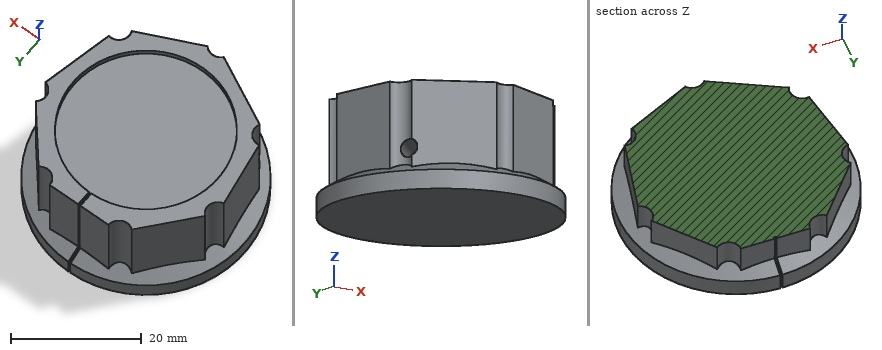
import cadquery as cq
import math

flange_radius = 19.05
flange_height = 3.0
flange_slope = math.radians(30)
cone_top_radius = 14.0

total_height = 17.6
grip_back_y = 16.62
grip_corners = [
    (7.70, grip_back_y),
    (17.65, 4.80),
    (14.15, -11.48),
    (-0.10, -18.12),
    (-14.94, -10.50),
    (-17.65, 4.80),
    (-7.70, grip_back_y),
]
flute_radius = 2.0
front_corner = 3
front_flute_center = (0.0, -18.63)

recess_radius = 13.9
recess_depth = 1.0

groove_width = 0.35
groove_depth = 0.3

screw_hole_radius = 1.4
screw_hole_height = 7.1
screw_axes_meet_y = 2.6
screw_hole_length = 24.0


def cone_height(radius):
    """Height of the flange cone surface at a given radius."""
    return flange_height + (flange_radius - radius) * math.tan(flange_slope)


def make_flange():
    profile = [
        (0, 0),
        (flange_radius, 0),
        (flange_radius, flange_height),
        (cone_top_radius, cone_height(cone_top_radius)),
        (0, cone_height(cone_top_radius)),
    ]
    return cq.Workplane("XZ").polyline(profile).close().revolve(360, (0, 0), (0, 1))


def make_grip():
    flute_centers = list(grip_corners)
    flute_centers[front_corner] = front_flute_center
    flutes = cq.Workplane("XY").pushPoints(flute_centers).circle(flute_radius).extrude(total_height)
    return cq.Workplane("XY").polyline(grip_corners).close().extrude(total_height).cut(flutes)


def make_recess():
    floor_height = total_height - recess_depth
    return cq.Workplane("XY").workplane(offset=floor_height).circle(recess_radius).extrude(recess_depth)


def make_groove():
    """Thin slot whose floor lies one groove depth below the back outline of the knob."""
    wall_y = grip_back_y - groove_depth
    rim_y = flange_radius - groove_depth
    cone_drop = groove_depth / math.cos(flange_slope)
    top_z = total_height - groove_depth
    section = [
        (rim_y, 0),
        (rim_y, cone_height(rim_y) - cone_drop),
        (wall_y, cone_height(wall_y) - cone_drop),
        (wall_y, top_z),
        (0, top_z),
        (0, total_height),
        (flange_radius, total_height),
        (flange_radius, 0),
    ]
    return cq.Workplane("YZ").polyline(section).close().extrude(groove_width / 2, both=True)


def make_screw_hole(side):
    """Horizontal hole leaving the meeting point at 45 degrees toward the front on one side (-1 or 1)."""
    start = cq.Vector(0, screw_axes_meet_y, screw_hole_height)
    direction = cq.Vector(side, -1, 0)
    return cq.Solid.makeCylinder(screw_hole_radius, screw_hole_length, start, direction)


result = make_flange().union(make_grip()).cut(make_recess()).cut(make_groove())
for side in (-1, 1):
    result = result.cut(cq.Workplane(make_screw_hole(side)))